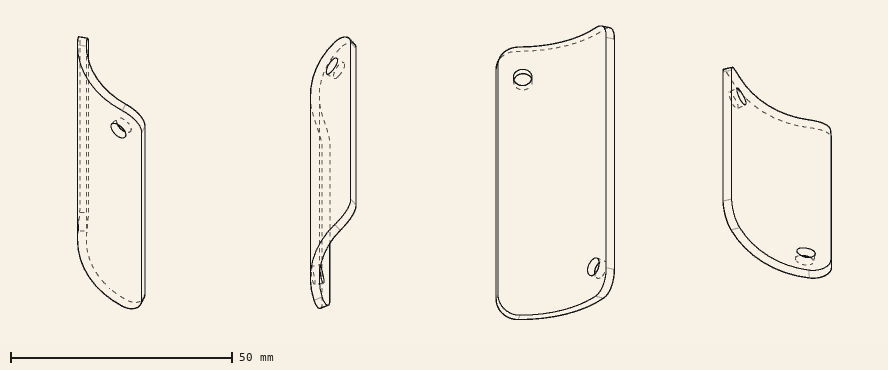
import cadquery as cq
import math

length = 70.0
chord_width = 30.0
outer_radius = 23.3
thickness = 2.0
corner_radius = 5.0
hole_diameter = 4.2
hole_angle = 25.0
hole_height = 27.0

inner_radius = outer_radius - thickness
half_angle = math.degrees(math.asin(chord_width / 2 / outer_radius))


def arc_point(radius, angle):
    """Point in the XY plane at an angle from the -Y direction, positive towards +X."""
    turn = math.radians(angle)
    return (radius * math.sin(turn), -radius * math.cos(turn))


def curved_plate():
    """Cylindrical shell segment about the Z axis with radial long sides."""
    return (
        cq.Workplane("XY")
        .workplane(offset=-length / 2)
        .moveTo(*arc_point(outer_radius, -half_angle))
        .threePointArc(arc_point(outer_radius, 0), arc_point(outer_radius, half_angle))
        .lineTo(*arc_point(inner_radius, half_angle))
        .threePointArc(arc_point(inner_radius, 0), arc_point(inner_radius, -half_angle))
        .close()
        .extrude(length)
    )


def round_corners(plate):
    """Round the four corners, whose edges run through the thickness."""
    return plate.faces("<Z or >Z").edges("%LINE").fillet(corner_radius)


def hole_cutter(angle, height):
    """Radial cylinder from the Z axis out through the shell wall."""
    reach = outer_radius + thickness
    start = cq.Vector(0, 0, height)
    direction = cq.Vector(*arc_point(1, angle), 0)
    return cq.Workplane(cq.Solid.makeCylinder(hole_diameter / 2, reach, start, direction))


result = round_corners(curved_plate())
for side in (-1, 1):
    result = result.cut(hole_cutter(side * hole_angle, side * hole_height))